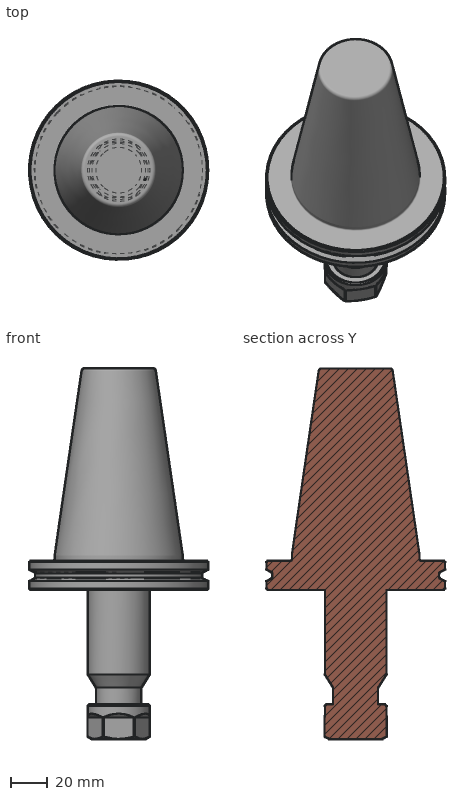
import cadquery as cq
import math

total_height = 201.5

gauge_radius = 34.9
taper_length = 101.8
taper_ratio = 7 / 24
small_end_fillet = 2.0
base_fillet = 0.8
gauge_z = total_height - taper_length
small_end_radius = gauge_radius - taper_length * taper_ratio / 2

flange_radius = 97.4 / 2
groove_floor_radius = 91.0 / 2
flange_bottom_z = 81.0
flange_height = 16.0
flange_edge_chamfer = 0.8
flange_top_z = flange_bottom_z + flange_height
groove_center_z = flange_bottom_z + flange_height / 2
groove_mouth_width = 6.2
groove_floor_width = 3.0
groove_floor_fillet = 0.8

shank_radius = 17.0
shank_bottom_z = 35.3
neck_radius = 24.8 / 2
neck_top_z = 28.0

nut_radius = shank_radius
nut_height = 19.2
nut_top_chamfer = 1.0
nut_bottom_radius = 14.5
nut_bottom_chamfer_height = 1.5
nut_across_flats = 29.8
nut_flats_height = 11.9


def turned(profile):
    """Revolve a closed outline of (radius, height) points about the Z axis."""
    return cq.Workplane("XZ").polyline(profile).close().revolve(360, (0, 0), (0, 1))


def make_taper():
    cone = turned([
        (0, flange_top_z),
        (gauge_radius, flange_top_z),
        (gauge_radius, gauge_z),
        (small_end_radius, total_height),
        (0, total_height),
    ])
    return cone.faces(">Z").edges().fillet(small_end_fillet)


def make_flange():
    disc = cq.Workplane("XY").workplane(offset=flange_bottom_z).circle(flange_radius).extrude(flange_height)
    disc = disc.faces("<Z or >Z").edges().chamfer(flange_edge_chamfer)
    groove = turned([
        (flange_radius, groove_center_z - groove_mouth_width / 2),
        (groove_floor_radius, groove_center_z - groove_floor_width / 2),
        (groove_floor_radius, groove_center_z + groove_floor_width / 2),
        (flange_radius, groove_center_z + groove_mouth_width / 2),
    ])
    floor_corners = cq.selectors.RadiusNthSelector(0)
    return disc.cut(groove.edges(floor_corners).fillet(groove_floor_fillet))


def make_shank():
    return turned([
        (0, nut_height),
        (neck_radius, nut_height),
        (neck_radius, neck_top_z),
        (shank_radius, shank_bottom_z),
        (shank_radius, flange_bottom_z),
        (0, flange_bottom_z),
    ])


def make_nut():
    body = turned([
        (0, 0),
        (nut_bottom_radius, 0),
        (nut_radius, nut_bottom_chamfer_height),
        (nut_radius, nut_height - nut_top_chamfer),
        (nut_radius - nut_top_chamfer, nut_height),
        (0, nut_height),
    ])
    across_corners = nut_across_flats / math.cos(math.pi / 6)
    hexagon = cq.Workplane("XY").polygon(6, across_corners).extrude(nut_flats_height)
    run_out = (
        cq.Workplane("XY")
        .workplane(offset=nut_flats_height)
        .polygon(6, across_corners)
        .extrude(nut_height - nut_flats_height, taper=-45)
    )
    return body.intersect(hexagon.union(run_out))


def round_taper_base(body):
    """Fillet the inside corner where the taper's cylindrical base meets the flange."""
    corner = cq.selectors.RadiusNthSelector(0)
    flange_top = body.faces(cq.selectors.NearestToPointSelector(
        ((gauge_radius + flange_radius) / 2, 0, flange_top_z)
    ))
    return flange_top.edges(corner).fillet(base_fillet)


holder = make_taper().union(make_flange())
result = round_taper_base(holder).union(make_shank()).union(make_nut())